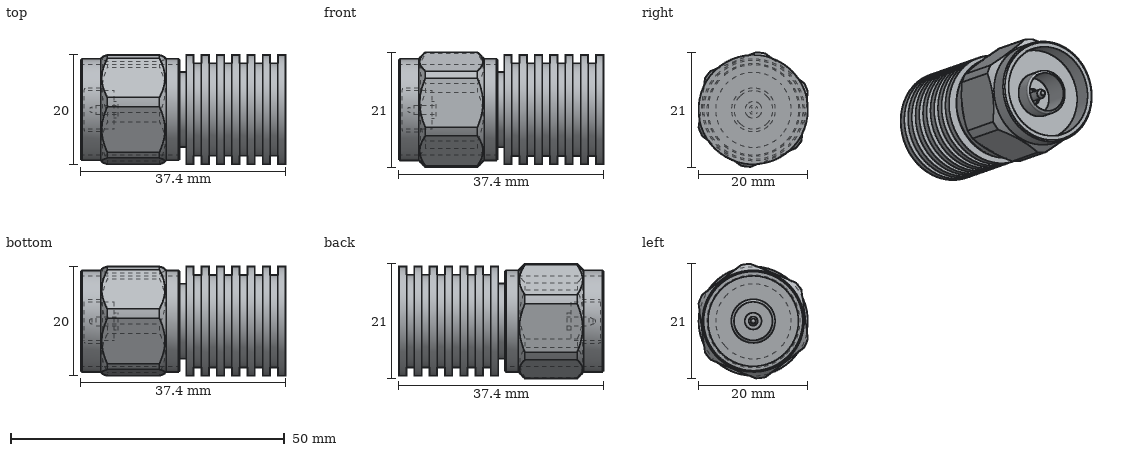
import cadquery as cq
import math

LENGTH = 37.4

NUT_LENGTH = 18.03
NUT_RADIUS = 9.3
NUT_BORE_RADIUS = 8.25
NUT_EDGE_CHAMFER = 0.25
HEX_START = 3.63
HEX_END = 15.55
HEX_CORNER_RADIUS = 10.5
HEX_APOTHEM = 9.5
HEX_CHAMFER = HEX_CORNER_RADIUS - NUT_RADIUS
HEX_ROTATION = 7.5
HEX_SIDES = 6

FIN_COUNT = 7
FIN_RADIUS = 10.005
FIN_START = 19.22
FIN_WIDTH = (LENGTH - FIN_START) / (2 * FIN_COUNT - 1)
FIN_PITCH = 2 * FIN_WIDTH
CORE_RADIUS = 8.5
COLLAR_RADIUS = 6.9
PLUG_START = 3.93

FERRULE_START = 0.55
FERRULE_RADIUS = 4.0
FERRULE_BORE_RADIUS = 3.5
FERRULE_FLOOR = 6.0
FERRULE_ROUNDING = 0.37

RECESS_RADIUS = 1.55
RECESS_DEPTH = 0.75
PIN_START = 1.5
PIN_RADIUS = 0.82
PIN_NOSE_RADIUS = 0.45
PIN_TAPER_LENGTH = 0.75


def cylinder(start, end, radius):
    """Cylinder on the X axis between two stations."""
    return cq.Workplane("YZ").workplane(offset=start).circle(radius).extrude(end - start)


def make_hex_band():
    """Hexagon with rounded corners and conical chamfers at both ends."""
    band_length = HEX_END - HEX_START
    hexagon = (
        cq.Workplane("YZ")
        .workplane(offset=HEX_START)
        .polygon(HEX_SIDES, 2 * HEX_APOTHEM / math.cos(math.pi / HEX_SIDES))
        .extrude(band_length)
        .rotate((0, 0, 0), (1, 0, 0), 90 - HEX_ROTATION)
    )
    envelope = cylinder(HEX_START, HEX_END, HEX_CORNER_RADIUS).edges("%CIRCLE").chamfer(HEX_CHAMFER)
    return hexagon.intersect(envelope)


def make_coupling_nut():
    sleeve = cylinder(0, NUT_LENGTH, NUT_RADIUS).edges("%CIRCLE").chamfer(NUT_EDGE_CHAMFER)
    bore = cylinder(0, NUT_LENGTH, NUT_BORE_RADIUS)
    return sleeve.union(make_hex_band()).cut(bore)


def make_ferrule():
    """Sleeve standing on the plug, with a rounded outer rim."""
    return cylinder(FERRULE_START, PLUG_START, FERRULE_RADIUS).faces("<X").edges().fillet(FERRULE_ROUNDING)


def make_contact():
    """Round pin with a tapered front and a rounded nose."""
    nose_end = PIN_START + PIN_NOSE_RADIUS
    taper_end = nose_end + PIN_TAPER_LENGTH
    pin_end = FERRULE_FLOOR + RECESS_DEPTH
    nose_offset = PIN_NOSE_RADIUS * math.sqrt(0.5)
    profile = (
        cq.Workplane("XY")
        .moveTo(PIN_START, 0)
        .threePointArc((nose_end - nose_offset, nose_offset), (nose_end, PIN_NOSE_RADIUS))
        .lineTo(taper_end, PIN_RADIUS)
        .lineTo(pin_end, PIN_RADIUS)
        .lineTo(pin_end, 0)
        .close()
    )
    return profile.revolve(360, (0, 0, 0), (1, 0, 0))


def make_load_body():
    body = cylinder(PLUG_START, NUT_LENGTH, NUT_BORE_RADIUS)
    body = body.union(cylinder(NUT_LENGTH, FIN_START, COLLAR_RADIUS))
    body = body.union(cylinder(FIN_START, LENGTH, CORE_RADIUS))
    for index in range(FIN_COUNT):
        fin_start = FIN_START + index * FIN_PITCH
        body = body.union(cylinder(fin_start, fin_start + FIN_WIDTH, FIN_RADIUS))
    body = body.union(make_ferrule())
    body = body.cut(cylinder(FERRULE_START, FERRULE_FLOOR, FERRULE_BORE_RADIUS))
    body = body.cut(cylinder(FERRULE_FLOOR, FERRULE_FLOOR + RECESS_DEPTH, RECESS_RADIUS))
    return body.union(make_contact())


coupling_nut = make_coupling_nut()
load_body = make_load_body()

result = cq.Compound.makeCompound([coupling_nut.val(), load_body.val()])